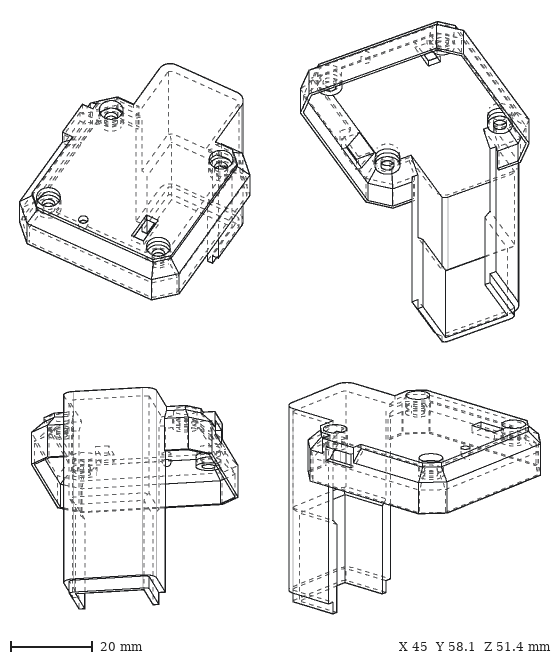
import cadquery as cq
import math

HEAD_SIZE = 45.0
HEAD_HEIGHT = 12.2
CORNER_CUT = 4.95
LIP_HEIGHT = 1.1
BEVEL = 2.9

SIDE_WALL = 0.7
ROOF = 1.85
CAVITY_BEVEL_START = 6.3

STEM_WIDTH = 23.2
STEM_REACH = 13.1
STEM_OVERLAP = 1.5
STEM_RADIUS = 3.0
TOTAL_HEIGHT = 51.4
TONGUE_HEIGHT = 3.1
SIDE_INSET = 1.6
BACK_INSET = 1.0
LEDGE = 1.45
LEDGE_DEPTH = 26.9

SCREW_SPACING = 31.0
SCREW_DIAMETER = 3.2
COUNTERBORE_DIAMETER = 5.8
COUNTERBORE_DEPTH = 3.0
BOSS_DIAMETER = 6.15
BOSS_FLOOR = 1.5

PORT_BLOCK_WIDTH = 10.0
PORT_BLOCK_Y = 8.6
PORT_WIDTH = 8.0
PORT_HEIGHT = 3.55
PORT_TOP = 2.0
PORT_Y = 8.4

SLOT_SIZE = (3.3, 7.3)
SLOT_CENTRE = (9.75, -12.1)
LAMP_DIAMETER = 2.25
LAMP_CENTRE = (-4.65, -17.3)

half = HEAD_SIZE / 2
bevel_start = LIP_HEIGHT + BEVEL
cavity_bevel = CAVITY_BEVEL_START - ROOF
stem_back = half + STEM_REACH
stem_front = half - STEM_OVERLAP
tongue_top = TOTAL_HEIGHT - TONGUE_HEIGHT
channel_width = STEM_WIDTH - 2 * SIDE_INSET
channel_back = stem_back - BACK_INSET
channel_front = half - SIDE_WALL - cavity_bevel
boss_depth = COUNTERBORE_DEPTH + BOSS_FLOOR


def block(width, front, back, top, bottom):
    """Box centred on X, from front to back in Y, between two depths below the top face."""
    middle = (front + back) / 2
    footprint = cq.Workplane("XY", origin=(0, middle, -bottom)).rect(width, back - front)
    return footprint.extrude(bottom - top)


def rounded_block(width, front, back, top, bottom, radius):
    """Block with its two rear upright edges rounded."""
    return block(width, front, back, top, bottom).edges("|Z and >Y").fillet(radius)


def octagon(inset, top, bottom):
    """Prism of the head outline, moved inward by inset on every side."""
    size = HEAD_SIZE - 2 * inset
    corner_cut = CORNER_CUT - (2 - math.sqrt(2)) * inset
    prism = cq.Workplane("XY", origin=(0, 0, -bottom)).rect(size, size).extrude(bottom - top)
    return prism.edges("|Z").chamfer(corner_cut)


def leaning_octagon(inset, rise, bottom):
    """Upright octagon down to the head's underside, topped by a 45 degree taper."""
    base = octagon(inset, bottom, HEAD_HEIGHT)
    rim = base.faces(">Z").wires().toPending().workplane()
    return base.union(rim.extrude(rise, combine=False, taper=45))


def head():
    body = leaning_octagon(0, BEVEL, bevel_start)
    body = body.union(octagon(BEVEL, 0, bevel_start))
    port_block = (
        cq.Workplane("XY", origin=(-half + bevel_start / 2, PORT_BLOCK_Y, 0))
        .rect(bevel_start, PORT_BLOCK_WIDTH)
        .extrude(-bevel_start)
    )
    return body.union(port_block)


def cavity():
    return leaning_octagon(SIDE_WALL, cavity_bevel, CAVITY_BEVEL_START)


def neck():
    """Carries the flat top of the stem forward over the bevel of the head."""
    return block(STEM_WIDTH, half - bevel_start, half, 0, bevel_start)


def stem_profile(top, bottom):
    """Rounded profile shared by the upper channel and the tongue."""
    width = STEM_WIDTH - 2 * BACK_INSET
    radius = STEM_RADIUS - BACK_INSET
    rounded = rounded_block(width, channel_front, channel_back, top, bottom, radius)
    return rounded.intersect(block(channel_width, channel_front, channel_back, top, bottom))


def stem():
    outer = rounded_block(STEM_WIDTH, stem_front, stem_back, 0, tongue_top, STEM_RADIUS)
    tongue = stem_profile(tongue_top, TOTAL_HEIGHT)
    return outer.union(tongue.intersect(block(STEM_WIDTH, stem_front, stem_back, 0, TOTAL_HEIGHT)))


def channel():
    """Hollow of the stem: wide above, narrow below, with a sloping ledge between."""
    ledge_bottom = LEDGE_DEPTH + LEDGE
    wide = stem_profile(ROOF, ledge_bottom)
    narrow_width = channel_width - 2 * LEDGE
    narrow_back = channel_back - LEDGE
    above_ledge = block(channel_width, channel_front, channel_back, ROOF, LEDGE_DEPTH)
    ledge = (
        cq.Workplane("XZ", origin=(0, channel_front, -LEDGE_DEPTH))
        .polyline([(-channel_width / 2, 0), (channel_width / 2, 0),
                   (narrow_width / 2, -LEDGE), (-narrow_width / 2, -LEDGE)])
        .close()
        .extrude(channel_front - channel_back)
    )
    back_slope = (
        cq.Workplane("YZ", origin=(-channel_width / 2, 0, -LEDGE_DEPTH))
        .polyline([(channel_front, 0), (channel_back, 0), (narrow_back, -LEDGE), (channel_front, -LEDGE)])
        .close()
        .extrude(channel_width)
    )
    upper = wide.intersect(above_ledge.union(ledge.intersect(back_slope)))
    return upper.union(block(narrow_width, channel_front, narrow_back, ROOF, TOTAL_HEIGHT))


def screw_cylinders(diameter, depth):
    """Four upright cylinders at the screw positions, from the top face down."""
    corners = cq.Workplane("XY").rect(SCREW_SPACING, SCREW_SPACING, forConstruction=True).vertices()
    return corners.circle(diameter / 2).extrude(-depth)


def port():
    middle_depth = PORT_TOP + PORT_HEIGHT / 2
    profile = cq.Workplane("YZ", origin=(-half, PORT_Y, -middle_depth)).rect(PORT_WIDTH, PORT_HEIGHT)
    return profile.extrude(CAVITY_BEVEL_START)


def top_openings():
    slot = cq.Workplane("XY").center(*SLOT_CENTRE).rect(*SLOT_SIZE).extrude(-HEAD_HEIGHT)
    lamp = cq.Workplane("XY").center(*LAMP_CENTRE).circle(LAMP_DIAMETER / 2).extrude(-HEAD_HEIGHT)
    return slot.union(lamp)


bosses = screw_cylinders(BOSS_DIAMETER, boss_depth)

result = head().union(neck()).cut(cavity()).union(stem()).cut(channel())
result = result.union(bosses)
result = result.cut(screw_cylinders(COUNTERBORE_DIAMETER, COUNTERBORE_DEPTH))
result = result.cut(screw_cylinders(SCREW_DIAMETER, HEAD_HEIGHT))
result = result.cut(port()).cut(top_openings())